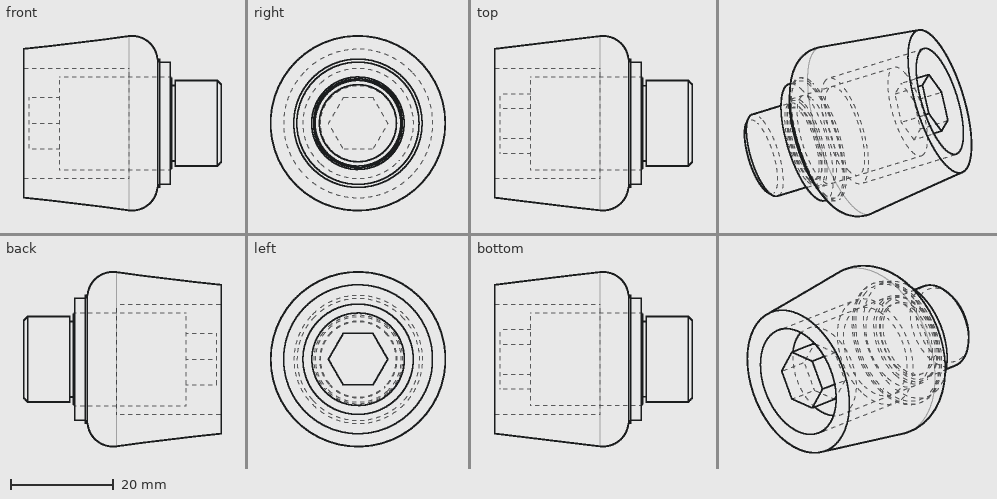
import cadquery as cq
import math


mouth_diameter = 29.0
knob_diameter = 34.05
flare_length = 20.5
flare_angle = math.radians(7.0)
dome_radius = 5.0
boss_diameter = 25.0
knob_length = 26.5
bore_diameter = 21.5
bore_depth = flare_length

collar_diameter = 23.8
collar_end = 28.55

hex_start = 1.0
hex_across_flats = 10.0
shank_start = 6.95
shank_diameter = 18.0
shank_tip_diameter = 17.3
shank_end = 28.85
neck_diameter = 14.7
thread_start = 29.5
thread_diameter = 16.67
thread_tip_diameter = 15.0
screw_end = 38.5
thread_chamfer = (thread_diameter - thread_tip_diameter) / 2


def cylinder(diameter, start, end):
    """Solid cylinder along X between two axial positions."""
    return cq.Workplane("YZ", origin=(start, 0, 0)).circle(diameter / 2).extrude(end - start)


def revolve_about_x(profile):
    """Full turn of a closed XY profile about the X axis."""
    return profile.close().revolve(360, (0, 0, 0), (1, 0, 0))


def make_knob():
    boss_radius = boss_diameter / 2
    mouth_radius = mouth_diameter / 2
    dome_center_radius = knob_diameter / 2 - dome_radius

    dome_center_x = flare_length + dome_radius * math.sin(flare_angle)

    def dome_point(angle):
        return (
            dome_center_x + dome_radius * math.cos(angle),
            dome_center_radius + dome_radius * math.sin(angle),
        )

    dome_start_angle = math.pi / 2 + flare_angle
    dome_end_angle = math.asin((boss_radius - dome_center_radius) / dome_radius)
    dome_middle_angle = (dome_start_angle + dome_end_angle) / 2

    outline = (
        cq.Workplane("XY")
        .moveTo(0, 0)
        .lineTo(0, mouth_radius)
        .lineTo(*dome_point(dome_start_angle))
        .threePointArc(dome_point(dome_middle_angle), dome_point(dome_end_angle))
        .lineTo(knob_length, boss_radius)
        .lineTo(knob_length, 0)
    )
    bore = cylinder(bore_diameter, 0, bore_depth)
    shank_hole = cylinder(shank_diameter, 0, knob_length)
    return revolve_about_x(outline).cut(bore).cut(shank_hole)


def make_collar():
    shank_hole = cylinder(shank_diameter, knob_length, collar_end)
    return cylinder(collar_diameter, knob_length, collar_end).cut(shank_hole)


def make_screw():
    outline = (
        cq.Workplane("XY")
        .moveTo(shank_start, 0)
        .lineTo(shank_start, shank_diameter / 2)
        .lineTo(collar_end, shank_diameter / 2)
        .lineTo(shank_end, shank_tip_diameter / 2)
        .lineTo(shank_end, neck_diameter / 2)
        .lineTo(thread_start, neck_diameter / 2)
        .lineTo(thread_start, thread_diameter / 2)
        .lineTo(screw_end - thread_chamfer, thread_diameter / 2)
        .lineTo(screw_end, thread_tip_diameter / 2)
        .lineTo(screw_end, 0)
    )

    hex_across_corners = hex_across_flats / math.cos(math.pi / 6)
    hex_drive = (
        cq.Workplane("YZ", origin=(hex_start, 0, 0))
        .polygon(6, hex_across_corners)
        .extrude(shank_start - hex_start)
    )
    return revolve_about_x(outline).union(hex_drive)


knob = make_knob()
collar = make_collar()
screw = make_screw()

result = cq.Compound.makeCompound([knob.val(), collar.val(), screw.val()])